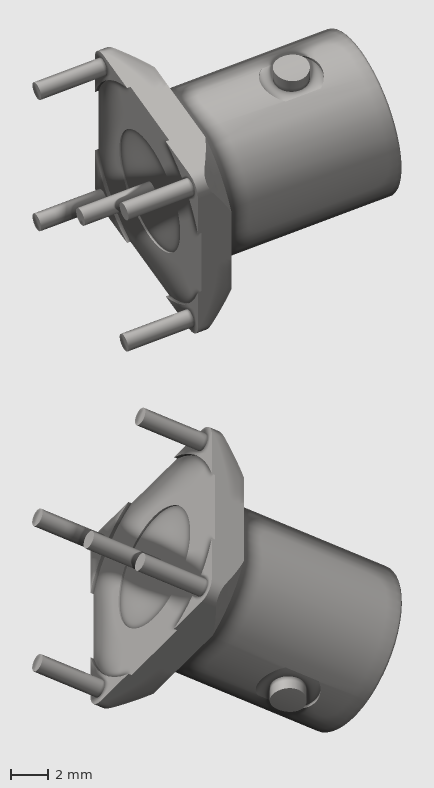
import cadquery as cq


flange_side = 12.0
flange_thickness = 2.05
corner_radius = 0.99
cone_start_radius = 6.68
relief_radius = 6.4
relief_depth = 0.2
insulator_diameter = 7.09
insulator_depth = 0.12

barrel_diameter = 9.61
barrel_length = 10.99
rim_radius = 0.15

stud_diameter = 2.0
stud_span = 10.99
stud_from_rim = 4.25
spotface_diameter = 3.5
spotface_height = 4.6

pin_diameter = 1.02
pin_offset = 5.08
total_length = 17.04
pin_length = total_length - barrel_length - flange_thickness

rim_y = flange_thickness + barrel_length
stud_y = rim_y - stud_from_rim


def rod(diameter, start_y, end_y, x=0.0, z=0.0):
    """Round bar parallel to Y between two Y positions."""
    start = cq.Vector(x, start_y, z)
    return cq.Workplane(cq.Solid.makeCylinder(diameter / 2, end_y - start_y, start, cq.Vector(0, 1, 0)))


def make_flange():
    """Square plate with coned corners and a shallow stepped relief in its pin side."""
    plate = (
        cq.Workplane("XY")
        .box(flange_side, flange_thickness, flange_side)
        .translate((0, flange_thickness / 2, 0))
        .edges("|Y")
        .fillet(corner_radius)
    )
    cone = cq.Workplane(
        cq.Solid.makeCone(
            cone_start_radius + flange_thickness,
            cone_start_radius,
            flange_thickness,
            cq.Vector(0, 0, 0),
            cq.Vector(0, 1, 0),
        )
    )
    relief = rod(2 * relief_radius, 0, relief_depth)
    insulator_recess = rod(insulator_diameter, 0, relief_depth + insulator_depth)
    return plate.intersect(cone).cut(relief).cut(insulator_recess)


def make_barrel():
    """Cylinder with a rounded rim and a flat spotface around each stud."""
    barrel = rod(barrel_diameter, flange_thickness, rim_y).faces(">Y").edges().fillet(rim_radius)
    for side in (1, -1):
        spotface = cq.Solid.makeCylinder(
            spotface_diameter / 2,
            barrel_diameter,
            cq.Vector(0, stud_y, side * spotface_height),
            cq.Vector(0, 0, side),
        )
        barrel = barrel.cut(cq.Workplane(spotface))
    return barrel


def make_studs():
    """Cross bar whose tips are curved concentric with the barrel."""
    bar = cq.Solid.makeCylinder(
        stud_diameter / 2,
        stud_span,
        cq.Vector(0, stud_y, -stud_span / 2),
        cq.Vector(0, 0, 1),
    )
    envelope = rod(stud_span, flange_thickness, rim_y)
    return cq.Workplane(bar).intersect(envelope)


def make_pins():
    """Centre contact and four corner pins, all ending at the same plane."""
    pins = rod(pin_diameter, -pin_length, flange_thickness / 2)
    for x in (pin_offset, -pin_offset):
        for z in (pin_offset, -pin_offset):
            pins = pins.union(rod(pin_diameter, -pin_length, 0, x, z))
    return pins


result = make_flange().union(make_barrel()).union(make_studs()).union(make_pins())